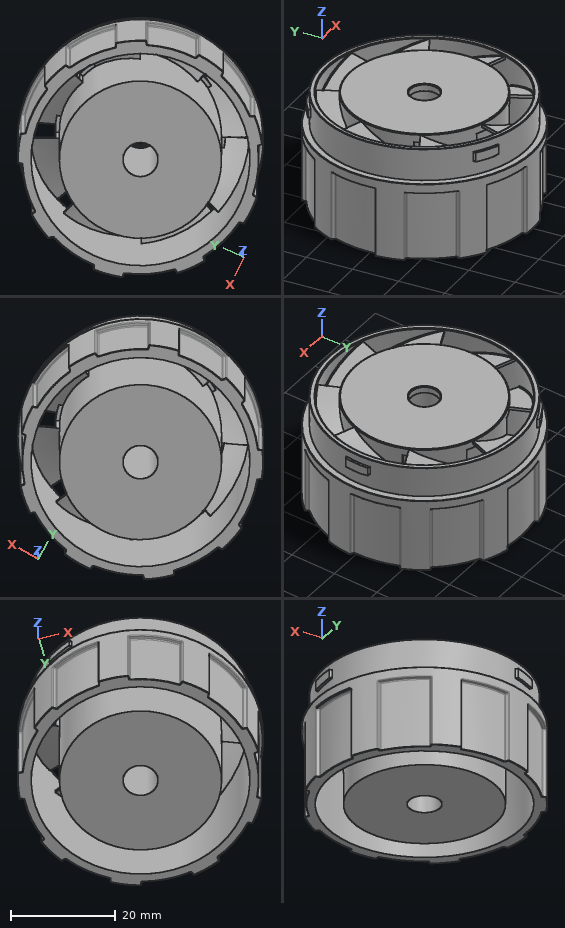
import cadquery as cq
import math

SKIRT_RADIUS = 23.6
SKIRT_HEIGHT = 17.05
TOTAL_HEIGHT = 24.0
COLLAR_RADIUS = 22.15
BORE_RADIUS = 21.0
EDGE = 0.2
RIM_EDGE = 0.1

RECESS_COUNT = 9
RECESS_HEIGHT = 14.95
RECESS_DEPTH = 0.85
RECESS_FIRST_ANGLE = 11.0
RECESS_MOUTH_ANGLE = 25.8
RECESS_FLOOR_ANGLE = 24.6

DRUM_RADIUS = 16.4
DRUM_NECK_RADIUS = 15.58
DRUM_LIP_HEIGHT = 1.85
HOLE_RADIUS = 3.05
HOLE_DEPTH = 1.55
HOLE_RELIEF_RADIUS = 3.35

BLADE_COUNT = 8
BLADE_GAP_ANGLE = 4.6
BLADE_TOP = TOTAL_HEIGHT - EDGE
BLADE_DROP = 5.75
BLADE_THICKNESS = 0.65
BLADE_ROOT = 0.45

LUG_COUNT = 3
LUG_RADIUS = 22.65
LUG_BOTTOM = 20.15
LUG_TOP = 22.2
LUG_BASE_ANGLE = 16.0
LUG_TIP_ANGLE = 13.4
LUG_RAMP_RISE = 0.2
LUG_CORNER_RISE = 0.55

LUG_RAMP_START = 1 / 3
LUG_CORNER_START = 0.85

BLADE_PITCH_ANGLE = 360 / BLADE_COUNT
BLADE_ANGLE = BLADE_PITCH_ANGLE - BLADE_GAP_ANGLE


def polar(radius, angle):
    """Point at the given radius and angle (degrees) in the XY plane."""
    return (radius * math.cos(math.radians(angle)), radius * math.sin(math.radians(angle)))


def cylinder(radius, bottom, top):
    """Cylinder about Z whose seam lies in a gap between two blades."""
    body = cq.Workplane("XY").workplane(offset=bottom).circle(radius).extrude(top - bottom)
    return body.rotate((0, 0, 0), (0, 0, 1), BLADE_PITCH_ANGLE / 2)


def tube(outer, inner, bottom, top):
    return cylinder(outer, bottom, top).cut(cylinder(inner, bottom, top))


def sector(inner, outer, inner_angle, outer_angle, bottom, top):
    """Ring sector centred on +X whose side walls may be slanted."""
    return (
        cq.Workplane("XY").workplane(offset=bottom)
        .moveTo(*polar(inner, -inner_angle / 2))
        .lineTo(*polar(outer, -outer_angle / 2))
        .threePointArc((outer, 0), polar(outer, outer_angle / 2))
        .lineTo(*polar(inner, inner_angle / 2))
        .threePointArc((inner, 0), polar(inner, -inner_angle / 2))
        .close().extrude(top - bottom)
    )


def around(shape, count, first_angle=0.0):
    """Copies of a shape spaced evenly about Z."""
    copies = cq.Workplane("XY")
    for i in range(count):
        copies = copies.add(shape.rotate((0, 0, 0), (0, 0, 1), first_angle + i * 360 / count))
    return copies.vals()


def with_each(body, shapes):
    for shape in shapes:
        body = body.union(shape)
    return body


def without_each(body, shapes):
    for shape in shapes:
        body = body.cut(shape)
    return body


def make_recess_cutter():
    """Recess cutter with slanted sides and rounded floor corners."""
    floor_radius = SKIRT_RADIUS - RECESS_DEPTH
    overshoot = 0.45
    widening = overshoot * (RECESS_MOUTH_ANGLE - RECESS_FLOOR_ANGLE) / RECESS_DEPTH
    cutter = sector(floor_radius, SKIRT_RADIUS + overshoot, RECESS_FLOOR_ANGLE,
                    RECESS_MOUTH_ANGLE + widening, 0, RECESS_HEIGHT)
    floor_edges = cutter.edges(cq.selectors.BoxSelector(
        (0, -SKIRT_RADIUS, EDGE), (floor_radius + EDGE, SKIRT_RADIUS, TOTAL_HEIGHT)))
    return floor_edges.fillet(EDGE)


def is_mouth_edge(edge):
    """True for the upright edges where recess walls meet the skirt surface."""
    middle = edge.Center()
    on_skirt = abs(math.hypot(middle.x, middle.y) - SKIRT_RADIUS) < EDGE / 10
    return on_skirt and middle.z < RECESS_HEIGHT


def make_shell():
    """Skirt and collar with the grip recesses cut in."""
    shell = cylinder(SKIRT_RADIUS, 0, SKIRT_HEIGHT)
    shell = without_each(shell, around(make_recess_cutter(), RECESS_COUNT, RECESS_FIRST_ANGLE))
    shell = shell.edges("|Z").filter(is_mouth_edge).fillet(EDGE)
    shell = shell.faces("<Z or >Z").edges().chamfer(RIM_EDGE)
    collar = cylinder(COLLAR_RADIUS, SKIRT_HEIGHT, TOTAL_HEIGHT).faces(">Z").edges().chamfer(RIM_EDGE)
    shell = shell.union(collar).cut(cylinder(BORE_RADIUS, 0, TOTAL_HEIGHT))
    return shell.faces(">Z").edges(cq.selectors.RadiusNthSelector(0)).chamfer(EDGE)


def blade_helix(radius, bottom):
    """Helical edge that climbs one blade, turning clockwise from the +X axis."""
    pitch = BLADE_DROP * 360 / BLADE_ANGLE
    base = cq.Vector(0, 0, bottom)
    return cq.Wire.makeHelix(pitch, BLADE_DROP, radius, center=base, lefthand=True).Edges()[0]


def helicoid(inner, outer, outer_rise=0.0):
    """Blade surface centred on +X, falling as the angle grows.

    A rise lifts the outer edge above the inner one.
    """
    bottom = BLADE_TOP - BLADE_DROP
    inner_edge = blade_helix(inner, bottom)
    outer_edge = blade_helix(outer, bottom + outer_rise)
    face = cq.Face.makeRuledSurface(inner_edge, outer_edge)
    return face.rotate(cq.Vector(0, 0, 0), cq.Vector(0, 0, 1), BLADE_ANGLE / 2)


def thicken(face, height):
    """Solid swept from a face along Z."""
    return cq.Workplane(cq.Solid.extrudeLinear(face, cq.Vector(0, 0, height)))


def make_blade():
    face = helicoid(DRUM_NECK_RADIUS - BLADE_ROOT, BORE_RADIUS + BLADE_ROOT)
    return thicken(face, -BLADE_THICKNESS)


def make_undercut():
    """Band removed from the drum wall everywhere below the blades."""
    face = helicoid(DRUM_NECK_RADIUS - BLADE_ROOT, DRUM_RADIUS + 2 * BLADE_ROOT)
    band = tube(DRUM_RADIUS + BLADE_ROOT, DRUM_NECK_RADIUS, 0, TOTAL_HEIGHT - DRUM_LIP_HEIGHT)
    return without_each(band, around(thicken(face, TOTAL_HEIGHT), BLADE_COUNT))


def make_corner_bevel():
    """Sloped strip filling the corner between one blade and the bore."""
    face = helicoid(BORE_RADIUS - EDGE, BORE_RADIUS + EDGE, 2 * EDGE)
    return thicken(face, -BLADE_THICKNESS).intersect(cylinder(COLLAR_RADIUS, 0, BLADE_TOP))


def make_drum():
    drum = cylinder(DRUM_RADIUS, 0, TOTAL_HEIGHT).faces(">Z").edges().chamfer(EDGE)
    return drum.cut(make_undercut())


def cut_hole(body):
    hole = cylinder(HOLE_RADIUS, 0, TOTAL_HEIGHT)
    relief = cylinder(HOLE_RELIEF_RADIUS, 0, TOTAL_HEIGHT - HOLE_DEPTH)
    countersink = (
        cq.Workplane("XY").workplane(offset=TOTAL_HEIGHT).circle(HOLE_RADIUS + EDGE)
        .workplane(offset=-EDGE).circle(HOLE_RADIUS).loft()
    )
    return body.cut(hole).cut(relief).cut(countersink)


def make_lug():
    """Lug centred on +X with slanted ends and a lead-in ramp under one end."""
    plan = sector(COLLAR_RADIUS - 0.45, LUG_RADIUS, LUG_BASE_ANGLE, LUG_TIP_ANGLE, LUG_BOTTOM, LUG_TOP)
    half_width = COLLAR_RADIUS * math.sin(math.radians(LUG_BASE_ANGLE / 2))
    side = (
        cq.Workplane("YZ").moveTo(-half_width, LUG_BOTTOM)
        .lineTo(half_width * LUG_RAMP_START, LUG_BOTTOM)
        .lineTo(half_width * LUG_CORNER_START, LUG_BOTTOM + LUG_RAMP_RISE)
        .lineTo(half_width, LUG_BOTTOM + LUG_CORNER_RISE)
        .lineTo(half_width, LUG_TOP)
        .lineTo(-half_width, LUG_TOP)
        .close().extrude(SKIRT_RADIUS)
    )
    return plan.intersect(side)


blades = around(make_blade(), BLADE_COUNT)
shell = with_each(make_shell(), around(make_lug(), LUG_COUNT))
shell = with_each(shell, around(make_corner_bevel(), BLADE_COUNT))
result = with_each(cut_hole(make_drum()), blades).union(shell)